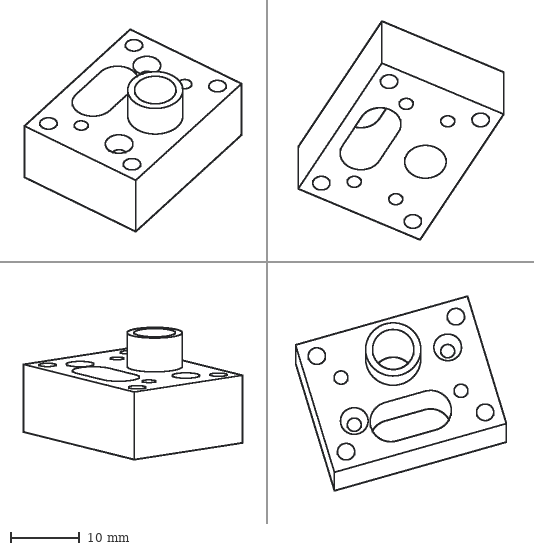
import cadquery as cq
import math

block_x = 20.0
block_y = 26.0
block_z = 10.0
total_z = 15.0

tube_x = 4.0
tube_outer_diameter = 8.0
bore_diameter = 6.0

slot_x = -5.0
slot_width = bore_diameter
slot_length = 2 * slot_width

corner_hole_diameter = 2.5
corner_hole_inset = 2.5

screw_hole_x = 3.4
screw_hole_y = 8.05
screw_hole_diameter = 2.0
countersink_diameter = 2 * screw_hole_diameter
countersink_depth = screw_hole_diameter
countersink_flare = (countersink_diameter - screw_hole_diameter) / 2
countersink_angle = 2 * math.degrees(math.atan(countersink_flare / countersink_depth))


def top_plane(body):
    """Workplane on the block's top, centred on the block."""
    return body.copyWorkplane(cq.Workplane("XY", origin=(0, 0, block_z)))


def add_tube(body):
    tube = (
        cq.Workplane("XY")
        .center(tube_x, 0)
        .circle(tube_outer_diameter / 2)
        .extrude(total_z)
    )
    bore = (
        cq.Workplane("XY")
        .center(tube_x, 0)
        .circle(bore_diameter / 2)
        .extrude(total_z)
    )
    return body.union(tube).cut(bore)


def cut_slot(body):
    slot = (
        cq.Workplane("XY")
        .center(slot_x, 0)
        .slot2D(slot_length, slot_width, 90)
        .extrude(block_z)
    )
    return body.cut(slot)


def drill_corner_holes(body):
    spacing_x = block_x - 2 * corner_hole_inset
    spacing_y = block_y - 2 * corner_hole_inset
    return (
        top_plane(body)
        .rarray(spacing_x, spacing_y, 2, 2)
        .hole(corner_hole_diameter, block_z)
    )


def drill_screw_holes(body):
    plain = [(screw_hole_x, screw_hole_y), (-screw_hole_x, -screw_hole_y)]
    countersunk = [(-screw_hole_x, screw_hole_y), (screw_hole_x, -screw_hole_y)]
    body = top_plane(body).pushPoints(plain).hole(screw_hole_diameter, block_z)
    return (
        top_plane(body)
        .pushPoints(countersunk)
        .cskHole(screw_hole_diameter, countersink_diameter, countersink_angle, block_z)
    )


block = cq.Workplane("XY").box(block_x, block_y, block_z, centered=(True, True, False))
block = add_tube(block)
block = cut_slot(block)
block = drill_corner_holes(block)
result = drill_screw_holes(block)